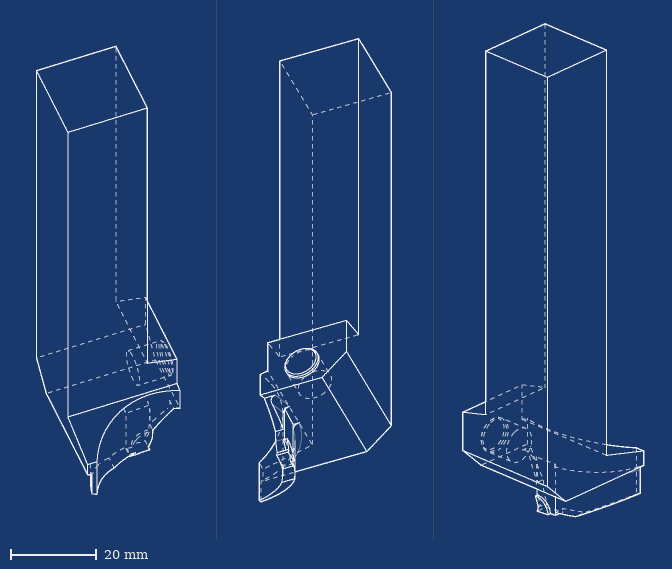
import cadquery as cq
import math

SHANK_SIDE = 20.0
TOTAL_HEIGHT = 126.4
FOOT_WIDTH = 32.5
FOOT_DEPTH = 27.4
FOOT_BOTTOM = 13.6
FOOT_TOP_AT_SHANK = 20.7
FOOT_TOP_AT_TOE = 17.4
HEEL_TOP_AT_SHANK = 31.6
HEEL_TOP_AT_BACK = 29.7
CORNER_CUT_WIDTH = 6.2
CORNER_CUT_HEIGHT = 6.1

HOLLOW_RADIUS = 19.7
HOLLOW_X = 40.3
HOLLOW_Y = 20.5

BLADE_RADIUS = 17.0
BLADE_X = 35.4
BLADE_Y = 18.0
BLADE_BOTTOM = 1.1
ROOT_FILLET = 1.5
FRONT_RISE_Y = 10.2
FRONT_RISE_HEIGHT = 5.4
BLADE_BACK_TOP_Y = 26.0
BLADE_BACK_STEP_Y = 21.1
BLADE_BACK_STEP_Z = 7.0

POST_FRONT_X = 18.6
POST_BACK_X = 18.3
POST_INNER_X = 21.0
POST_FRONT_Y = 15.2
POST_BOTTOM_Z = 0.4
TIP_TOP_Z = 3.9
TIP_BACK_Y = 21.0
RAKE_Y = 20.0
RAKE_Z = 1.3
EDGE_Y = 20.3
TIP_SIDE_X = 17.7
TIP_ROUND_RADIUS = 3.8
TIP_ROUND_Y = 20.6

SCREW_DIAMETER = 8.5
SCREW_X = 11.1
SCREW_Z = 19.7
SCREW_PROTRUSION = 1.0
SCREW_SUNK_DEPTH = 7.6
SCREW_CHAMFER = 0.4


def side_profile(points, x_start, x_end):
    """Extrude a (Y, Z) outline along X."""
    return cq.Workplane("YZ", origin=(x_start, 0, 0)).polyline(points).close().extrude(x_end - x_start)


def make_hollow():
    """Upright cylinder that scoops out the inner side."""
    return cq.Workplane("XY").center(HOLLOW_X, HOLLOW_Y).circle(HOLLOW_RADIUS).extrude(TOTAL_HEIGHT)


def make_shank_and_foot():
    front_outline = [
        (CORNER_CUT_WIDTH, FOOT_BOTTOM),
        (FOOT_WIDTH, FOOT_BOTTOM),
        (FOOT_WIDTH, FOOT_TOP_AT_TOE),
        (SHANK_SIDE, FOOT_TOP_AT_SHANK),
        (SHANK_SIDE, TOTAL_HEIGHT),
        (0, TOTAL_HEIGHT),
        (0, FOOT_BOTTOM + CORNER_CUT_HEIGHT),
    ]
    side_outline = [
        (0, FOOT_BOTTOM),
        (FOOT_DEPTH, FOOT_BOTTOM),
        (FOOT_DEPTH, HEEL_TOP_AT_BACK),
        (SHANK_SIDE, HEEL_TOP_AT_SHANK),
        (SHANK_SIDE, TOTAL_HEIGHT),
        (0, TOTAL_HEIGHT),
    ]
    front_body = cq.Workplane("XZ").polyline(front_outline).close().extrude(-FOOT_DEPTH)
    return front_body.intersect(side_profile(side_outline, 0, FOOT_WIDTH))


def make_blade():
    """Round drum with a concave root fillet, trimmed to a curved blade."""
    root_z = FOOT_BOTTOM - ROOT_FILLET
    arc_offset = ROOT_FILLET * (1 - math.sqrt(0.5))
    drum = (
        cq.Workplane("XZ")
        .lineTo(BLADE_RADIUS, 0)
        .lineTo(BLADE_RADIUS, root_z)
        .threePointArc(
            (BLADE_RADIUS + arc_offset, FOOT_BOTTOM - arc_offset),
            (BLADE_RADIUS + ROOT_FILLET, FOOT_BOTTOM),
        )
        .lineTo(0, FOOT_BOTTOM)
        .close()
        .revolve(360, (0, 0, 0), (0, 1, 0))
        .translate((BLADE_X, BLADE_Y, 0))
    )
    side_outline = [
        (0, FOOT_BOTTOM),
        (0, BLADE_BOTTOM + FRONT_RISE_HEIGHT),
        (FRONT_RISE_Y, BLADE_BOTTOM),
        (RAKE_Y, BLADE_BOTTOM),
        (TIP_BACK_Y, TIP_TOP_Z),
        (BLADE_BACK_STEP_Y, BLADE_BACK_STEP_Z),
        (BLADE_BACK_TOP_Y, FOOT_BOTTOM),
    ]
    return drum.intersect(side_profile(side_outline, 0, FOOT_WIDTH))


def make_post_clearance():
    """Space beside the post, which interrupts the root fillet."""
    return (
        cq.Workplane("XY")
        .polyline([
            (0, POST_FRONT_Y),
            (POST_FRONT_X, POST_FRONT_Y),
            (POST_BACK_X, BLADE_BACK_STEP_Y),
            (0, BLADE_BACK_STEP_Y),
        ])
        .close()
        .extrude(FOOT_BOTTOM)
    )


def make_post():
    side_outline = [
        (POST_FRONT_Y, FOOT_BOTTOM),
        (POST_FRONT_Y, POST_BOTTOM_Z),
        (EDGE_Y, 0),
        (RAKE_Y, RAKE_Z),
        (TIP_BACK_Y, TIP_TOP_Z),
        (BLADE_BACK_STEP_Y, BLADE_BACK_STEP_Z),
        (BLADE_BACK_STEP_Y, FOOT_BOTTOM),
    ]
    return side_profile(side_outline, 0, POST_INNER_X).cut(make_post_clearance())


def make_tip_side():
    """Raised, rounded cheek at the cutting edge."""
    outline = [
        (POST_FRONT_Y, POST_BOTTOM_Z),
        (EDGE_Y, 0),
        (RAKE_Y, RAKE_Z),
        (TIP_BACK_Y, TIP_TOP_Z),
        (POST_FRONT_Y, TIP_TOP_Z),
    ]
    rounding = (
        cq.Workplane("YZ", origin=(TIP_SIDE_X, 0, 0))
        .center(TIP_ROUND_Y, 0)
        .circle(TIP_ROUND_RADIUS)
        .extrude(POST_INNER_X - TIP_SIDE_X)
    )
    return side_profile(outline, TIP_SIDE_X, POST_INNER_X).intersect(rounding)


def make_screw():
    return (
        cq.Workplane("XZ", origin=(SCREW_X, FOOT_DEPTH - SCREW_SUNK_DEPTH, SCREW_Z))
        .circle(SCREW_DIAMETER / 2)
        .extrude(-(SCREW_SUNK_DEPTH + SCREW_PROTRUSION))
        .faces(">Y")
        .chamfer(SCREW_CHAMFER)
    )


def make_holder(screw):
    blade = make_blade().cut(make_post_clearance())
    body = make_shank_and_foot().union(blade).union(make_post()).union(make_tip_side())
    return body.cut(make_hollow()).cut(screw)


screw = make_screw()
holder = make_holder(screw)

result = cq.Compound.makeCompound([holder.solids().val(), screw.val()])